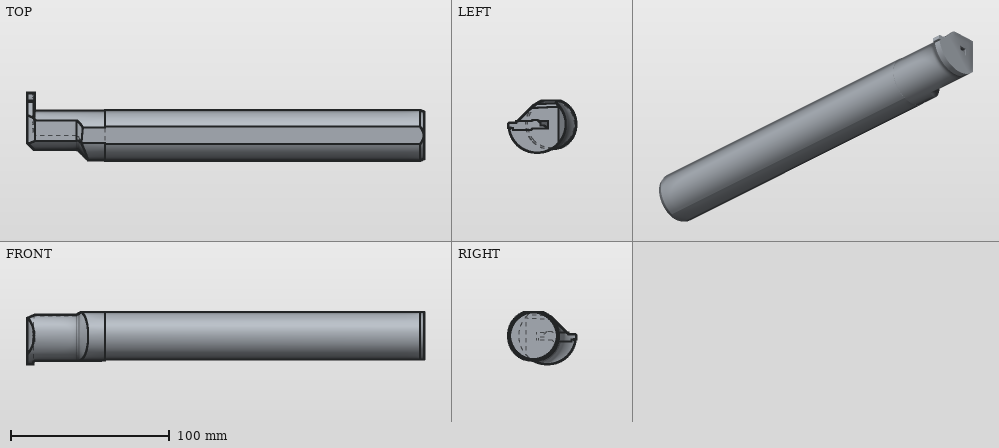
import cadquery as cq
import math


length = 250
shank_radius = 16.0
flat_height = 15.0
neck_radius = 15.8
neck_end = 49.0
end_chamfer_length = 2.8
end_chamfer_depth = 1.2

head_radius = 18.0
head_center_y = 8.8
head_top = 13.2
head_top_tilt = 3
head_top_edge_y = -3.5
head_length = 32.0
shoulder_blend = 2.2
blade_thickness = 4.0
blade_root_fillet = 1.5
blade_slope_offset = 23.0
ramp_length = 5.0
ramp_drop = 2.2
ramp_rise_length = 3.2
side_chamfer = 4.5

insert_thickness = 5.0
pocket_back = 2.0
insert_back = 3.2
insert_upper_back = 6.8
back_step = -0.8
back_corner = 1.0
insert_tip = 27.0
tip_corner = 0.8
insert_shoulder = 22.0
insert_support = 23.8
insert_waist = 12.5
insert_top = 2.0
insert_bottom = -3.5
insert_back_bottom = -2.8
tip_top = 1.0
tip_bottom = -2.2
crown_top = 2.8
crown_y = 10.0
crown_half_width = 1.5
crown_slope = 0.8

margin = 25


def bar(radius, start, end):
    return cq.Workplane("YZ", origin=(start, 0, 0)).circle(radius).extrude(end - start)


def shank():
    body = bar(shank_radius, neck_end, length)
    between_flats = (
        cq.Workplane("YZ", origin=(neck_end, 0, 0))
        .rect(3 * shank_radius, 2 * flat_height)
        .extrude(length - neck_end)
    )
    end_cone = (
        cq.Workplane("XY")
        .moveTo(neck_end, 0)
        .lineTo(neck_end, shank_radius)
        .lineTo(length - end_chamfer_length, shank_radius)
        .lineTo(length, shank_radius - end_chamfer_depth)
        .lineTo(length, 0)
        .close()
        .revolve(360, (0, 0, 0), (1, 0, 0))
    )
    return body.intersect(between_flats).intersect(end_cone)


def head_envelope():
    """Offset cylinder opening through a blend into a 45 degree cone."""
    tangent = shoulder_blend * math.tan(math.radians(22.5))
    diagonal = math.sqrt(0.5)
    blend_start = head_length - tangent
    middle = (
        blend_start + shoulder_blend * math.sin(math.radians(22.5)),
        head_radius + shoulder_blend * (1 - math.cos(math.radians(22.5))),
    )
    blend_end = (head_length + tangent * diagonal, head_radius + tangent * diagonal)
    cone_end_radius = head_radius + neck_end - head_length
    return (
        cq.Workplane("XY")
        .moveTo(0, 0)
        .lineTo(0, head_radius)
        .lineTo(blend_start, head_radius)
        .threePointArc(middle, blend_end)
        .lineTo(neck_end, cone_end_radius)
        .lineTo(neck_end, 0)
        .close()
        .revolve(360, (0, 0, 0), (1, 0, 0))
        .translate((0, head_center_y, 0))
    )


def filleted_blank():
    """Round blank whose back face runs through a concave fillet into the head cylinder."""
    fillet_end = blade_thickness + blade_root_fillet
    fillet_top = neck_radius + blade_root_fillet
    middle_offset = blade_root_fillet * (1 - math.sqrt(0.5))
    return (
        cq.Workplane("XY")
        .moveTo(0, 0)
        .lineTo(0, head_center_y + 2 * head_radius)
        .lineTo(blade_thickness, head_center_y + 2 * head_radius)
        .lineTo(blade_thickness, fillet_top)
        .threePointArc(
            (blade_thickness + middle_offset, neck_radius + middle_offset),
            (fillet_end, neck_radius),
        )
        .lineTo(fillet_end, 0)
        .close()
        .revolve(360, (0, 0, 0), (1, 0, 0))
    )


def blade():
    """Front disc with a filleted root, cut along its sloping upper edge."""
    depth = blade_thickness + blade_root_fillet
    disc = cq.Workplane("YZ").center(head_center_y, 0).circle(head_radius).extrude(depth)
    reach = head_center_y + head_radius + margin
    above_slope = (
        cq.Workplane("YZ")
        .moveTo(reach, blade_slope_offset - reach)
        .lineTo(reach, reach)
        .lineTo(blade_slope_offset - reach, reach)
        .close()
        .extrude(depth)
    )
    return disc.intersect(filleted_blank()).cut(above_slope)


def top_relief():
    """Space above the head's tilted flat and its two ramps."""
    rise_start = head_length - shoulder_blend * math.tan(math.radians(22.5))
    high = flat_height + margin
    rise_slope = (flat_height - head_top) / ramp_rise_length
    return (
        cq.Workplane("XZ")
        .moveTo(0, high)
        .lineTo(0, head_top - ramp_drop)
        .lineTo(ramp_length, head_top)
        .lineTo(rise_start, head_top)
        .lineTo(rise_start + (high - head_top) / rise_slope, high)
        .close()
        .extrude(2 * margin, both=True)
        .rotate((0, head_top_edge_y, head_top), (1, head_top_edge_y, head_top), -head_top_tilt)
    )


def neck_flat_relief():
    return (
        cq.Workplane("XY", origin=(0, 0, flat_height))
        .rect(2 * neck_end, 3 * neck_radius)
        .extrude(margin)
    )


def side_relief():
    """45 degree chamfer across the front of the -Y side."""
    side = head_center_y - head_radius
    return (
        cq.Workplane("XY")
        .moveTo(0, side + side_chamfer)
        .lineTo(side_chamfer + margin, side - margin)
        .lineTo(0, side - margin)
        .close()
        .extrude(2 * margin, both=True)
    )


def make_insert():
    return (
        cq.Workplane("YZ")
        .moveTo(insert_back, insert_back_bottom)
        .lineTo(insert_waist - crown_slope, insert_back_bottom)
        .lineTo(insert_waist, insert_bottom)
        .lineTo(insert_support, insert_bottom)
        .lineTo(insert_support, tip_bottom)
        .lineTo(insert_tip, tip_bottom)
        .lineTo(insert_tip, tip_top - tip_corner)
        .lineTo(insert_tip - tip_corner, tip_top)
        .lineTo(insert_shoulder, tip_top)
        .lineTo(insert_shoulder, insert_top)
        .lineTo(crown_y + crown_half_width + crown_slope, insert_top)
        .lineTo(crown_y + crown_half_width, crown_top)
        .lineTo(crown_y - crown_half_width, crown_top)
        .lineTo(crown_y - crown_half_width - crown_slope, insert_top)
        .lineTo(insert_upper_back, insert_top - back_corner)
        .lineTo(insert_upper_back, back_step)
        .lineTo(insert_back + back_corner, back_step)
        .lineTo(insert_back, back_step - back_corner)
        .close()
        .extrude(insert_thickness)
    )


def pocket_clearance():
    """Open end of the pocket behind the stepped back of the insert."""
    return (
        cq.Workplane("YZ")
        .moveTo(pocket_back, insert_back_bottom)
        .lineTo(insert_upper_back + back_corner, insert_back_bottom)
        .lineTo(insert_upper_back + back_corner, insert_top)
        .lineTo(pocket_back, insert_top)
        .close()
        .extrude(insert_thickness)
    )


def make_holder(insert):
    front = bar(neck_radius, 0, neck_end).intersect(head_envelope())
    front = front.union(blade())
    front = front.cut(neck_flat_relief()).cut(top_relief()).cut(side_relief())
    return front.union(shank()).cut(insert).cut(pocket_clearance())


insert = make_insert()
holder = make_holder(insert)

result = cq.Compound.makeCompound([holder.val(), insert.val()])